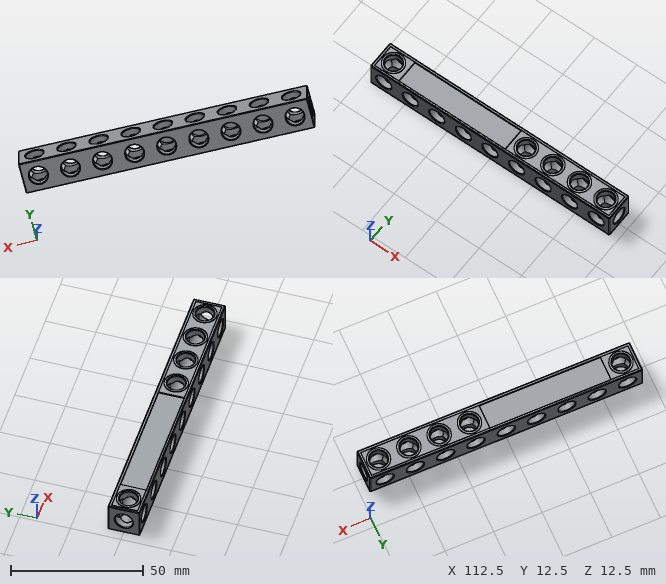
import cadquery as cq

cell_count = 9
length = 112.5
pitch = length / cell_count
edge_chamfer = 0.32
top = pitch / 2

hole_radius = 7.0 / 2
hole_chamfer = 0.32

border_width = 1.1
recess_depth = 0.2
recess_width = pitch - 2 * border_width
ring_radius = 9.2 / 2

label_step = 0.51
panel_depth = recess_depth + label_step
panel_thickness = 1.0
first_label_cell = 1
label_cell_count = 4
label_cells = range(first_label_cell, first_label_cell + label_cell_count)
open_cells = [cell for cell in range(cell_count) if cell not in label_cells]


def cell_x(cell):
    """X position of the centre of a cell."""
    return (cell - (cell_count - 1) / 2) * pitch


def mouth(plane, centre, offset, inward):
    """Conical countersink that narrows in the inward direction (+1 or -1) along the plane normal."""
    return (
        cq.Workplane(plane, origin=centre)
        .workplane(offset=offset)
        .circle(hole_radius + hole_chamfer)
        .workplane(offset=inward * hole_chamfer)
        .circle(hole_radius)
        .loft()
    )


def through_hole(plane, centre, depth):
    """Through hole along the plane normal, with a countersink at both ends."""
    hole = cq.Workplane(plane, origin=centre).circle(hole_radius).extrude(depth / 2, both=True)
    for side in (1, -1):
        hole = hole.union(mouth(plane, centre, side * depth / 2, -side))
    return hole


def blind_hole(centre, hole_top):
    """Hole from the bottom face up to the height hole_top, countersunk at the bottom."""
    bottom = cq.Workplane("XY", origin=centre).workplane(offset=-top)
    hole = bottom.circle(hole_radius).extrude(top + hole_top)
    return hole.union(mouth("XY", centre, -top, 1))


def top_recess():
    """Material removed inside the top border, sparing a raised ring around each open hole."""
    floor = cq.Workplane("XY").workplane(offset=top - recess_depth)
    recess = floor.rect(length - 2 * border_width, recess_width).extrude(recess_depth)
    ring_centres = [(cell_x(cell), 0) for cell in open_cells]
    rings = floor.pushPoints(ring_centres).circle(ring_radius).extrude(recess_depth)
    return recess.cut(rings)


def label_pocket():
    """Material removed above the label panel."""
    centre_x = (cell_x(label_cells[0]) + cell_x(label_cells[-1])) / 2
    return (
        cq.Workplane("XY", origin=(centre_x, 0, top - panel_depth))
        .rect(label_cell_count * pitch, recess_width)
        .extrude(panel_depth)
    )


beam = cq.Workplane("XY").box(length, pitch, pitch).edges().chamfer(edge_chamfer)
beam = beam.cut(top_recess()).cut(label_pocket())

beam = beam.cut(through_hole("YZ", (0, 0, 0), length))

for cell in range(cell_count):
    cell_centre = (cell_x(cell), 0, 0)
    beam = beam.cut(through_hole("XZ", cell_centre, pitch))
    if cell in label_cells:
        beam = beam.cut(blind_hole(cell_centre, top - panel_depth - panel_thickness))
    else:
        beam = beam.cut(through_hole("XY", cell_centre, pitch))

result = beam